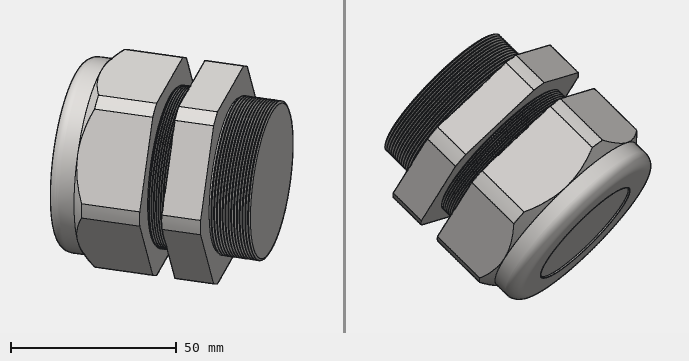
import cadquery as cq
import math


across_flats = 59.95
corner_diameter = 66.5
flat_radius = across_flats / 2
corner_radius = corner_diameter / 2

hex_front = 8.4
cap_rear = 29.95
collar_front = 36.85
collar_rear = 49.0
body_rear = 62.0

dome_fillet = 3.8
bore_radius = 18.95

rim_width = 0.25
recess_depth = 0.5

flank_angle = 60.0
crest_flat_share = 1 / 8

cap_thread_crest = 25.0
cap_thread_turns = 9
cap_thread_neck = 0.3

entry_thread_crest = 24.4
entry_thread_turns = 14
entry_thread_neck = 0.5


def cylinder(radius, start, end):
    """Round bar along X."""
    return cq.Workplane("YZ").workplane(offset=start).circle(radius).extrude(end - start)


def rounded_hexagon(start, end):
    """Hexagonal prism along X with flats facing +Z and -Z and corners turned to the corner diameter."""
    across_corners = across_flats / math.cos(math.pi / 6)
    prism = cq.Workplane("YZ").workplane(offset=start).polygon(6, across_corners).extrude(end - start)
    return prism.intersect(cylinder(corner_radius, start, end))


def make_cap_nut():
    chamfer_end = hex_front + corner_radius - flat_radius
    chamfer_envelope = (
        cq.Workplane("XY")
        .moveTo(hex_front, 0)
        .lineTo(hex_front, flat_radius)
        .lineTo(chamfer_end, corner_radius)
        .lineTo(cap_rear, corner_radius)
        .lineTo(cap_rear, 0)
        .close()
        .revolve(360, (0, 0, 0), (1, 0, 0))
    )
    hexagon = rounded_hexagon(hex_front, cap_rear).intersect(chamfer_envelope)

    dome = cylinder(flat_radius, 0, hex_front).faces("<X").edges().fillet(dome_fillet)
    return dome.union(hexagon).cut(cylinder(bore_radius, 0, cap_rear))


def thread(start, end, crest, turns, neck):
    """Plain neck at the root radius, then flat-topped ridges with sharp roots up to the end."""
    ridges_start = start + neck
    pitch = (end - ridges_start) / turns
    crest_flat = pitch * crest_flat_share
    flank = (pitch - crest_flat) / 2
    root = crest - flank * math.tan(math.radians(flank_angle))
    outline = [(start, 0), (start, root), (ridges_start, root)]
    for turn in range(turns):
        ridge_start = ridges_start + turn * pitch
        outline.append((ridge_start + flank, crest))
        outline.append((ridge_start + flank + crest_flat, crest))
        outline.append((ridge_start + pitch, root))
    outline.append((end, 0))
    return cq.Workplane("XY").polyline(outline).close().revolve(360, (0, 0, 0), (1, 0, 0))


def make_gland_body():
    recess = cylinder(bore_radius - rim_width, 0, recess_depth)
    plug = cylinder(bore_radius, 0, cap_rear).cut(recess)

    cap_thread = thread(cap_rear, collar_front, cap_thread_crest, cap_thread_turns, cap_thread_neck)
    collar = rounded_hexagon(collar_front, collar_rear)
    entry_thread = thread(collar_rear, body_rear, entry_thread_crest, entry_thread_turns, entry_thread_neck)
    return plug.union(cap_thread).union(collar).union(entry_thread)


cap_nut = make_cap_nut()
gland_body = make_gland_body()

result = cq.Compound.makeCompound([cap_nut.val(), gland_body.val()])